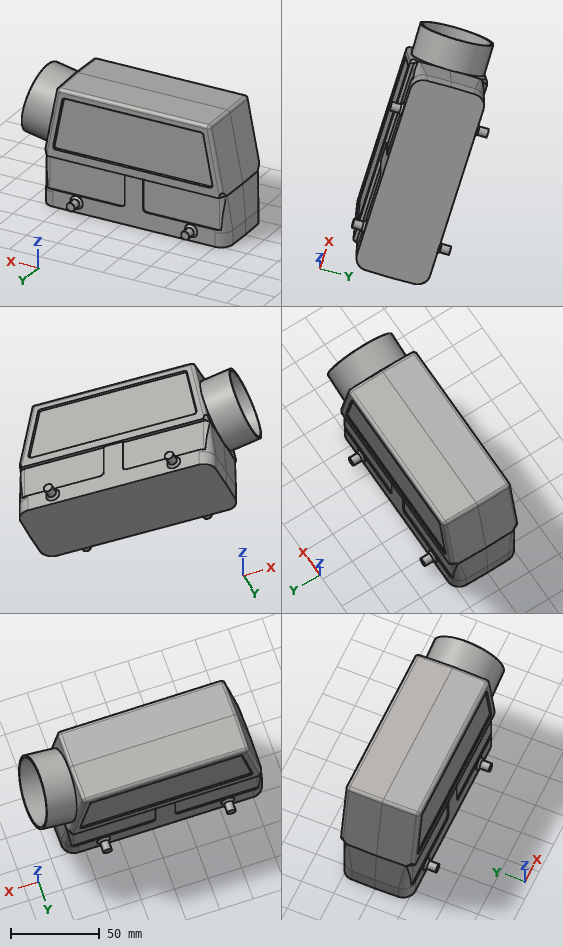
import cadquery as cq
import math


OVERALL_LENGTH = 135.7
DRAFT = 1.0
END_SLOPE = 11.0

BASE_HALF_LENGTH = 119.8 / 2
BASE_HALF_WIDTH = 21.6
BASE_CORNER_RADIUS = 7.5
BAND_HEIGHT = 9.2
SHELF_Z = 31.9
WAIST_HALF_LENGTH = 116.5 / 2
WAIST_CORNER_RADIUS = 4.1

UPPER_HALF_WIDTH = 45.5 / 2
ROOF_Z = 76.3
UPPER_ROUNDING = 2.0
ROOF_HALF_LENGTH = 99.3 / 2

FLARE_TOP_Z = 35.7
FLARE_DIRECTION = 30
FLARE_BOTTOM_REACH = 59.3
FLARE_TOP_REACH = 60.4

RECESS_DEPTH = 0.8
RECESS_BOTTOM_Z = 10.9
RECESS_INNER_X = 5.8
RECESS_CORNER_RADIUS = 2.6
CORE_MARGIN = 0.1
CORE_BAND_RADIUS = 4.9
CORE_WAIST_RADIUS = 3.5

PANEL_BOTTOM_Z = 37.0
PANEL_TOP_Z = 70.8
PANEL_BOTTOM_HALF_LENGTH = 51.8
PANEL_DEPTH = 0.8
PANEL_CORNER_RADIUS = 2.0
PANEL_WALL_SLOPE = 40.0
PANEL_TOP_HALF_LENGTH = (
    PANEL_BOTTOM_HALF_LENGTH - (PANEL_TOP_Z - PANEL_BOTTOM_Z) * math.tan(math.radians(END_SLOPE))
)

PEG_X = 36.9
PEG_Z = 6.4
PEG_DIAMETER = 5.2
PEG_COLLAR_DIAMETER = 8.0
PEG_COLLAR_HEIGHT = (PEG_COLLAR_DIAMETER - PEG_DIAMETER) / 2
PEG_TIP_Y = 57.1 / 2
PEG_ROOT = 1.4

TUBE_DIAMETER = 43.0
TUBE_BORE = 40.5
RIM_END_X = OVERALL_LENGTH - BASE_HALF_LENGTH
RIM_TOP_Z = 76.5
TUBE_LENGTH = 19.0


def mirrored(body, plane):
    """The body together with its mirror image."""
    return body.union(body.mirror(plane))


def plan_section(half_length, half_width, corner_radius, z):
    """Plan outline at height z: drafted ends that peak on the parting plane, rounded corners."""
    side_half_length = half_length - half_width * math.tan(math.radians(DRAFT))
    corners = [
        (half_length, 0),
        (side_half_length, half_width),
        (-side_half_length, half_width),
        (-half_length, 0),
        (-side_half_length, -half_width),
        (side_half_length, -half_width),
    ]
    outline = cq.Wire.makePolygon([cq.Vector(x, y, z) for x, y in corners], close=True)
    rounded = [v for v in outline.Vertices() if abs(v.Y) > half_width / 2]
    return outline.fillet2D(corner_radius, rounded)


def lower_part():
    sections = [
        plan_section(BASE_HALF_LENGTH, BASE_HALF_WIDTH, BASE_CORNER_RADIUS, 0),
        plan_section(BASE_HALF_LENGTH, BASE_HALF_WIDTH, BASE_CORNER_RADIUS, BAND_HEIGHT),
        plan_section(WAIST_HALF_LENGTH, BASE_HALF_WIDTH, WAIST_CORNER_RADIUS, SHELF_Z),
    ]
    body = cq.Workplane(cq.Solid.makeLoft(sections, True))
    for side in (-1, 1):
        for end in (-1, 1):
            body = body.cut(recess_block(side, end).cut(recess_core()))
    return body


def recess_core():
    """Body laid bare by the recesses: narrower than the hood, with tighter corners."""
    half_width = BASE_HALF_WIDTH - RECESS_DEPTH
    sections = [
        plan_section(BASE_HALF_LENGTH + CORE_MARGIN, half_width, CORE_BAND_RADIUS, BAND_HEIGHT),
        plan_section(WAIST_HALF_LENGTH + CORE_MARGIN, half_width, CORE_WAIST_RADIUS, SHELF_Z),
    ]
    return cq.Workplane(cq.Solid.makeLoft(sections, True))


def recess_block(side, end):
    """Extent of one recess, which runs off the end of its side wall."""
    length = BASE_HALF_LENGTH - RECESS_INNER_X
    height = SHELF_Z - RECESS_BOTTOM_Z
    centre = (
        end * (RECESS_INNER_X + length / 2),
        side * BASE_HALF_WIDTH / 2,
        RECESS_BOTTOM_Z + height / 2,
    )
    inner_face = "<X" if end > 0 else ">X"
    block = cq.Workplane("XY").box(length, BASE_HALF_WIDTH, height)
    return block.faces(inner_face).edges("<Z").fillet(RECESS_CORNER_RADIUS).translate(centre)


def is_rounded_edge(edge):
    """True for every edge of a drafted upper half but its bottom ones and those on the parting plane."""
    box = edge.BoundingBox()
    on_bottom = box.zmax < SHELF_Z
    on_parting_plane = box.ymax - box.ymin < UPPER_ROUNDING and box.ymax > -UPPER_ROUNDING
    return not (on_bottom or on_parting_plane)


def upper_part():
    """Upper trapezoid, drafted both ways from the parting plane and rounded on its outer edges."""
    foot_z = SHELF_Z - UPPER_ROUNDING
    foot_half_length = ROOF_HALF_LENGTH + (ROOF_Z - foot_z) * math.tan(math.radians(END_SLOPE))
    profile = [
        (-foot_half_length, foot_z),
        (foot_half_length, foot_z),
        (ROOF_HALF_LENGTH, ROOF_Z),
        (-ROOF_HALF_LENGTH, ROOF_Z),
    ]
    half = cq.Workplane("XZ").polyline(profile).close().extrude(UPPER_HALF_WIDTH, taper=DRAFT)
    half = half.edges().filter(is_rounded_edge).fillet(UPPER_ROUNDING)
    block_size = 2 * BASE_HALF_LENGTH
    below_shelf = cq.Workplane("XY").rect(block_size, block_size).extrude(SHELF_Z)
    body = mirrored(half, "XZ").cut(below_shelf)
    for direction in (FLARE_DIRECTION, 180 - FLARE_DIRECTION, 180 + FLARE_DIRECTION, -FLARE_DIRECTION):
        body = body.cut(corner_flare(direction))
    return body


def corner_flare(direction):
    """Sloping cut under one lower corner of the upper part, facing outward over the corner."""
    reach = FLARE_TOP_REACH + UPPER_HALF_WIDTH
    profile = [
        (FLARE_BOTTOM_REACH, SHELF_Z),
        (reach, SHELF_Z),
        (reach, FLARE_TOP_Z),
        (FLARE_TOP_REACH, FLARE_TOP_Z),
    ]
    cut = cq.Workplane("XZ").polyline(profile).close().extrude(2 * reach, both=True)
    return cut.rotate((0, 0, 0), (0, 0, 1), direction)


def label_panel():
    """Rounded trapezoid sunk into the -Y wall, with sloping walls."""
    profile = [
        (-PANEL_BOTTOM_HALF_LENGTH, PANEL_BOTTOM_Z),
        (PANEL_BOTTOM_HALF_LENGTH, PANEL_BOTTOM_Z),
        (PANEL_TOP_HALF_LENGTH, PANEL_TOP_Z),
        (-PANEL_TOP_HALF_LENGTH, PANEL_TOP_Z),
    ]
    wall = cq.Plane(origin=(0, -UPPER_HALF_WIDTH, 0), xDir=(1, 0, 0), normal=(0, -1, 0))
    outline = cq.Wire.makePolygon([wall.toWorldCoords(p) for p in profile], close=True)
    outline = outline.fillet2D(PANEL_CORNER_RADIUS, outline.Vertices())
    return cq.Workplane(wall).add(outline).toPending().extrude(-PANEL_DEPTH, taper=PANEL_WALL_SLOPE)


def peg(x):
    """Locking peg on the -Y wall, with a conical collar at its root."""
    collar_y = BASE_HALF_WIDTH + PEG_COLLAR_HEIGHT
    half_section = [
        (0, BASE_HALF_WIDTH - PEG_ROOT),
        (PEG_COLLAR_DIAMETER / 2, BASE_HALF_WIDTH - PEG_ROOT),
        (PEG_COLLAR_DIAMETER / 2, BASE_HALF_WIDTH),
        (PEG_DIAMETER / 2, collar_y),
        (PEG_DIAMETER / 2, PEG_TIP_Y),
        (0, PEG_TIP_Y),
    ]
    body = cq.Workplane("XY").polyline(half_section).close().revolve(360, (0, 0), (0, 1))
    return body.mirror("XZ").translate((x, 0, PEG_Z))


def build_hood():
    hood = lower_part().union(upper_part())
    panel = label_panel()
    hood = hood.cut(panel).cut(panel.mirror("XZ"))
    for x in (-PEG_X, PEG_X):
        hood = hood.union(mirrored(peg(x), "XZ"))
    return hood


def build_tube(hood):
    """Tube square to the end wall, open at its rim and trimmed to fit the wall."""
    slope = math.radians(END_SLOPE)
    rim_centre = (
        RIM_END_X - TUBE_DIAMETER / 2 * math.sin(slope),
        0,
        RIM_TOP_Z - TUBE_DIAMETER / 2 * math.cos(slope),
    )
    rim = cq.Plane(rim_centre, xDir=(0, 1, 0), normal=(math.cos(slope), 0, math.sin(slope)))
    tube = cq.Workplane(rim).circle(TUBE_DIAMETER / 2).circle(TUBE_BORE / 2).extrude(-TUBE_LENGTH)
    return tube.cut(hood)


hood = build_hood()
tube = build_tube(hood)
result = cq.Compound.makeCompound([hood.val(), tube.val()])